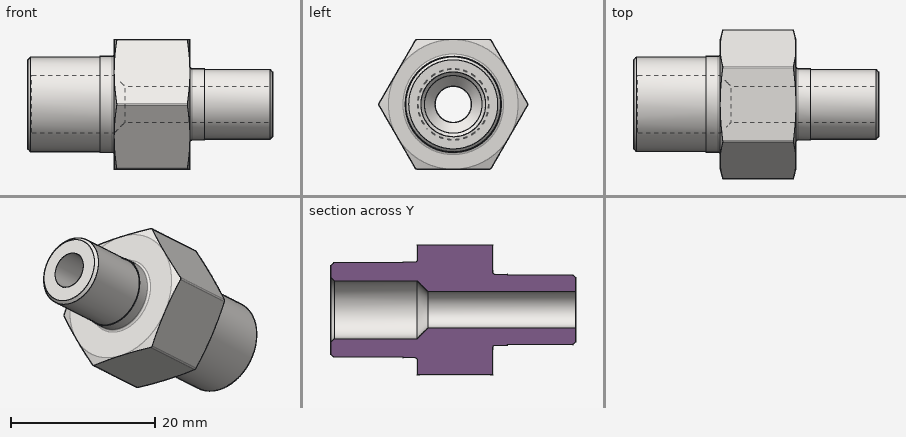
import cadquery as cq
import math

total_length = 34.0
hex_start = 12.0
hex_end = 22.5
collar_length = 2.0

hex_sides = 6
across_flats = 18.0
hex_edge_radius = 0.3
hex_chamfer_angle = 15.0

large_diameter = 13.16
small_diameter = 9.73
collar_step = 0.1
end_chamfer = 0.4
root_fillet = 0.3

wide_bore_diameter = 8.0
narrow_bore_diameter = 5.0
mouth_chamfer = 0.5
cone_start = 12.0
cone_half_angle = 45.0


def turned(outline):
    """Solid of revolution about the X axis from a half profile that returns to the axis."""
    return outline.close().revolve(360, (0, 0, 0), (1, 0, 0))


def hexagon():
    """Hexagon with rounded long edges and corners turned off at both ends."""
    across_corners = across_flats / math.cos(math.pi / hex_sides)
    prism = (
        cq.Workplane("YZ", origin=(hex_start, 0, 0))
        .polygon(hex_sides, across_corners)
        .extrude(hex_end - hex_start)
        .edges("|X")
        .fillet(hex_edge_radius)
    )
    flat_radius = across_flats / 2
    corner_radius = across_corners / 2
    run = (corner_radius - flat_radius) * math.tan(math.radians(hex_chamfer_angle))
    outline = (
        cq.Workplane("XY")
        .moveTo(hex_start, 0)
        .lineTo(hex_start, flat_radius)
        .lineTo(hex_start + run, corner_radius)
        .lineTo(hex_end - run, corner_radius)
        .lineTo(hex_end, flat_radius)
        .lineTo(hex_end, 0)
    )
    return prism.intersect(turned(outline))


def spigot(diameter, face, root):
    """Spigot with a chamfered end face and a collar that flares into the hexagon at its root."""
    inward = math.copysign(1, root - face)
    radius = diameter / 2
    collar_radius = radius + collar_step
    flare_bend = root_fillet * (1 - math.sqrt(0.5))
    outline = (
        cq.Workplane("XY")
        .moveTo(face, 0)
        .lineTo(face, radius - end_chamfer)
        .lineTo(face + inward * end_chamfer, radius)
        .lineTo(root - inward * collar_length, radius)
        .lineTo(root - inward * collar_length, collar_radius)
        .lineTo(root - inward * root_fillet, collar_radius)
        .threePointArc(
            (root - inward * flare_bend, collar_radius + flare_bend),
            (root, collar_radius + root_fillet),
        )
        .lineTo(root, 0)
    )
    return turned(outline)


def bore():
    """Wide bore with a chamfered mouth, tapering into a narrow through bore."""
    wide_radius = wide_bore_diameter / 2
    narrow_radius = narrow_bore_diameter / 2
    cone_length = (wide_radius - narrow_radius) / math.tan(math.radians(cone_half_angle))
    outline = (
        cq.Workplane("XY")
        .lineTo(0, wide_radius + mouth_chamfer)
        .lineTo(mouth_chamfer, wide_radius)
        .lineTo(cone_start, wide_radius)
        .lineTo(cone_start + cone_length, narrow_radius)
        .lineTo(total_length, narrow_radius)
        .lineTo(total_length, 0)
    )
    return turned(outline)


body = hexagon()
body = body.union(spigot(large_diameter, 0, hex_start))
body = body.union(spigot(small_diameter, total_length, hex_end))
result = body.cut(bore())